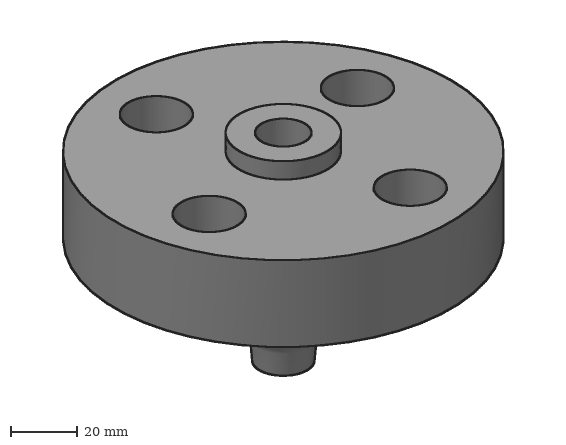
import cadquery as cq
import math

flange_diameter = 133.4
flange_thickness = 30.3
face_diameter = 35.0
face_height = 6.4

total_height = 79.3
hub_fillet_radius = 7.1
hub_taper_angle = 17.5
weld_end_radius = 9.5
weld_end_angle = 5.0
weld_end_length = 8.0
weld_blend_length = 1.1

bore_diameter = 17.1
bolt_hole_diameter = 22.1
bolt_circle_diameter = 89.0
bolt_count = 4

face_top_z = flange_thickness + face_height
weld_end_z = face_top_z - total_height
weld_neck_z = weld_end_z + weld_end_length
taper_end_z = weld_neck_z + weld_blend_length

taper = math.radians(hub_taper_angle)
weld_slope = math.radians(weld_end_angle)
fillet_end_z = -hub_fillet_radius * (1 - math.sin(taper))
weld_neck_radius = weld_end_radius + weld_end_length * math.tan(weld_slope)
taper_end_radius = weld_neck_radius + weld_blend_length * math.tan((taper + weld_slope) / 2)
hub_top_radius = taper_end_radius + (fillet_end_z - taper_end_z) * math.tan(taper)

fillet_center_radius = hub_top_radius + hub_fillet_radius * math.cos(taper)

body = (
    cq.Workplane("XZ")
    .moveTo(0, weld_end_z)
    .lineTo(weld_end_radius, weld_end_z)
    .lineTo(weld_neck_radius, weld_neck_z)
    .tangentArcPoint((taper_end_radius, taper_end_z), relative=False)
    .lineTo(hub_top_radius, fillet_end_z)
    .tangentArcPoint((fillet_center_radius, 0), relative=False)
    .lineTo(flange_diameter / 2, 0)
    .lineTo(flange_diameter / 2, flange_thickness)
    .lineTo(face_diameter / 2, flange_thickness)
    .lineTo(face_diameter / 2, face_top_z)
    .lineTo(0, face_top_z)
    .close()
    .revolve(360, (0, 0, 0), (0, 1, 0))
)

bore = (
    cq.Workplane("XY")
    .workplane(offset=weld_end_z)
    .circle(bore_diameter / 2)
    .extrude(total_height)
)

bolt_holes = (
    cq.Workplane("XY")
    .polarArray(bolt_circle_diameter / 2, 0, 360, bolt_count)
    .circle(bolt_hole_diameter / 2)
    .extrude(flange_thickness)
)

result = body.cut(bore).cut(bolt_holes)